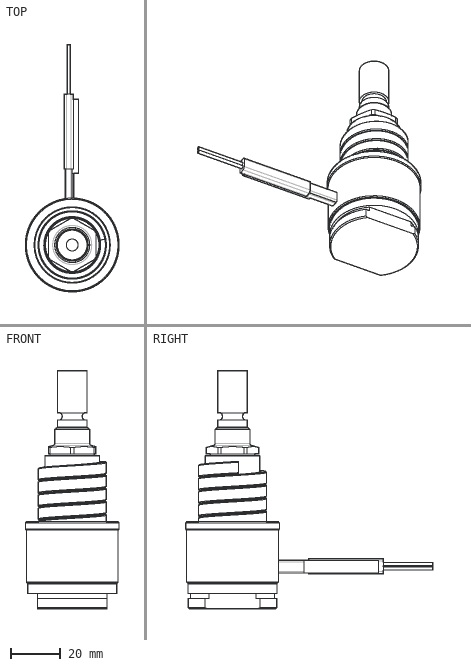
import cadquery as cq
import math


BODY_RADIUS = 18.6
FLANGE_RADIUS = 19.0
FLANGE_TOP = 35.2
FLANGE_HEIGHT = 3.0
FLANGE_CHAMFER = 0.5
FOOT_RADIUS = 18.0
FOOT_TOP = 10.4
FOOT_GROOVE_RADIUS = 17.0
FOOT_GROOVE_BOTTOM = 4.2
FOOT_GROOVE_TOP = 6.1
FOOT_CHAMFER = 0.5
FOOT_FLAT_OFFSET = 14.1
SHELL_CHAMFER = 0.4
BORE_RADIUS = 15.1
BORE_FLOOR = FLANGE_TOP - 5.0
BORE_CHAMFER = 0.3

CORE_RADIUS = 11.1
CORE_TOP = 62.0
CORE_CHAMFER = 0.3
SPRING_RADIUS = 13.8
SPRING_PITCH = 5.3
SPRING_GAP = 0.3
SPRING_TURNS = 5
SPRING_CHAMFER = 0.4
SPRING_TOP = 59.6
SPRING_END_ANGLE = 10.0
SPRING_EMBED = 0.5

WASHER_RADIUS = 9.0
HEX_BOTTOM = 62.6
HEX_EDGE_TOP = 65.2
HEX_TOP = 66.0
HEX_ACROSS_FLATS = 19.2
HEX_CORNER_RADIUS = 10.7
COLLAR_RADIUS = 7.1
COLLAR_FILLET = 0.8
COLLAR_TOP = 73.0
COLLAR_CHAMFER = 0.6
SHAFT_RADIUS = 6.0
SHAFT_TOP = 96.2
SHAFT_TAPER_WIDTH = 0.3
SHAFT_TAPER_HEIGHT = 0.5
NECK_BOTTOM = 76.3
NECK_TOP = 79.2
NECK_EDGE_RADIUS = 5.0
NECK_RADIUS = 4.1
HOLE_RADIUS = 2.4
HOLE_DEPTH = 20.0
DRILL_TIP_ANGLE = 118.0

CABLE_X = -1.4
CABLE_Z = 17.2
CABLE_WIDTH = 3.0
CABLE_HEIGHT = 5.2
CABLE_FILLET = 0.6
CABLE_START = 15.0
SECOND_CABLE_SHIFT = 0.6
SECOND_CABLE_DROP = 0.2
SLEEVE_WIDTH = 3.8
SLEEVE_HEIGHT = 6.2
SLEEVE_FILLET = 1.0
SLEEVE_START = 30.8
SLEEVE_END = 61.0
TUBE_RADIUS = 2.6
TUBE_START = 28.9
TUBE_LENGTH = 30.0
WIRE_RADIUS = 0.7
WIRE_SPACING = 1.8
WIRE_END = 81.0


def disc(radius, bottom, top):
    """Cylinder on the main axis between two heights."""
    return cq.Workplane("XY").workplane(offset=bottom).circle(radius).extrude(top - bottom)


def housing():
    """Flanged cup with a grooved foot that is flattened on both X sides."""
    flange_bottom = FLANGE_TOP - FLANGE_HEIGHT
    outline = [
        (0, 0),
        (FOOT_RADIUS - FOOT_CHAMFER, 0),
        (FOOT_RADIUS, FOOT_CHAMFER),
        (FOOT_RADIUS, FOOT_GROOVE_BOTTOM),
        (FOOT_GROOVE_RADIUS, FOOT_GROOVE_BOTTOM),
        (FOOT_GROOVE_RADIUS, FOOT_GROOVE_TOP),
        (FOOT_RADIUS, FOOT_GROOVE_TOP),
        (FOOT_RADIUS, FOOT_TOP - SHELL_CHAMFER),
        (FOOT_RADIUS - SHELL_CHAMFER, FOOT_TOP),
        (BODY_RADIUS - SHELL_CHAMFER, FOOT_TOP),
        (BODY_RADIUS, FOOT_TOP + SHELL_CHAMFER),
        (BODY_RADIUS, flange_bottom - SHELL_CHAMFER),
        (FLANGE_RADIUS, flange_bottom),
        (FLANGE_RADIUS, FLANGE_TOP - FLANGE_CHAMFER),
        (FLANGE_RADIUS - FLANGE_CHAMFER, FLANGE_TOP),
        (BORE_RADIUS + BORE_CHAMFER, FLANGE_TOP),
        (BORE_RADIUS, FLANGE_TOP - BORE_CHAMFER),
        (BORE_RADIUS, BORE_FLOOR),
        (0, BORE_FLOOR),
    ]
    body = cq.Workplane("XZ").polyline(outline).close().revolve(360, (0, 0), (0, 1))
    span = 2 * FLANGE_RADIUS
    for side in (-1, 1):
        beyond_flat = cq.Workplane("XY").box(span, span, FOOT_GROOVE_TOP, centered=(True, True, False))
        body = body.cut(beyond_flat.translate((side * (FOOT_FLAT_OFFSET + span / 2), 0, 0)))
    return body


def spring():
    """Right-handed coil whose inner side is sunk into the core."""
    height = SPRING_PITCH - SPRING_GAP
    inner = CORE_RADIUS - SPRING_EMBED
    ledge_inner = CORE_RADIUS + SPRING_CHAMFER
    start = SPRING_TOP - height - SPRING_TURNS * SPRING_PITCH
    section = [
        (inner, SPRING_CHAMFER + SPRING_EMBED),
        (ledge_inner, 0),
        (SPRING_RADIUS - SPRING_CHAMFER, 0),
        (SPRING_RADIUS, SPRING_CHAMFER),
        (SPRING_RADIUS, height - SPRING_CHAMFER),
        (SPRING_RADIUS - SPRING_CHAMFER, height),
        (ledge_inner, height),
        (inner, height - SPRING_CHAMFER - SPRING_EMBED),
    ]
    path = cq.Wire.makeHelix(SPRING_PITCH, SPRING_TURNS * SPRING_PITCH, SPRING_RADIUS)
    coil = cq.Workplane("XZ").polyline(section).close().sweep(cq.Workplane(path), isFrenet=True)
    return coil.rotate((0, 0, 0), (0, 0, 1), SPRING_END_ANGLE).translate((0, 0, start))


def hexagon():
    """Hexagon with a conical top and rounded-off corners, two flats facing X."""
    prism = (
        cq.Workplane("XY")
        .workplane(offset=HEX_BOTTOM)
        .transformed(rotate=(0, 0, 30))
        .polygon(6, HEX_ACROSS_FLATS, circumscribed=True)
        .extrude(HEX_TOP - HEX_BOTTOM)
        .rotate((0, 0, 0), (0, 0, 1), -30)
    )
    envelope = [
        (0, HEX_BOTTOM),
        (HEX_CORNER_RADIUS, HEX_BOTTOM),
        (HEX_CORNER_RADIUS, HEX_EDGE_TOP),
        (COLLAR_RADIUS + COLLAR_FILLET, HEX_TOP),
        (0, HEX_TOP),
    ]
    return prism.intersect(cq.Workplane("XZ").polyline(envelope).close().revolve(360, (0, 0), (0, 1)))


def post():
    """Collar, necked shaft and blind drilled hole above the hexagon."""
    fillet_sag = 1 - math.sqrt(0.5)
    solid = (
        cq.Workplane("XZ")
        .moveTo(0, HEX_BOTTOM)
        .lineTo(COLLAR_RADIUS, HEX_BOTTOM)
        .lineTo(COLLAR_RADIUS + COLLAR_FILLET, HEX_TOP)
        .threePointArc(
            (COLLAR_RADIUS + COLLAR_FILLET * fillet_sag, HEX_TOP + COLLAR_FILLET * fillet_sag),
            (COLLAR_RADIUS, HEX_TOP + COLLAR_FILLET),
        )
        .lineTo(COLLAR_RADIUS, COLLAR_TOP - COLLAR_CHAMFER)
        .lineTo(COLLAR_RADIUS - COLLAR_CHAMFER, COLLAR_TOP)
        .lineTo(SHAFT_RADIUS + SHAFT_TAPER_WIDTH, COLLAR_TOP)
        .lineTo(SHAFT_RADIUS, COLLAR_TOP + SHAFT_TAPER_HEIGHT)
        .lineTo(SHAFT_RADIUS, NECK_BOTTOM)
        .lineTo(NECK_EDGE_RADIUS, NECK_BOTTOM)
        .threePointArc((NECK_RADIUS, (NECK_BOTTOM + NECK_TOP) / 2), (NECK_EDGE_RADIUS, NECK_TOP))
        .lineTo(SHAFT_RADIUS, NECK_TOP)
        .lineTo(SHAFT_RADIUS, SHAFT_TOP)
        .lineTo(0, SHAFT_TOP)
        .close()
        .revolve(360, (0, 0), (0, 1))
    )
    hole_bottom = SHAFT_TOP - HOLE_DEPTH
    tip_depth = HOLE_RADIUS / math.tan(math.radians(DRILL_TIP_ANGLE / 2))
    hole_outline = [
        (0, SHAFT_TOP),
        (HOLE_RADIUS, SHAFT_TOP),
        (HOLE_RADIUS, hole_bottom),
        (0, hole_bottom - tip_depth),
    ]
    return solid.cut(cq.Workplane("XZ").polyline(hole_outline).close().revolve(360, (0, 0), (0, 1)))


def rounded_bar(x, z, width, height, fillet, start, end):
    """Bar along Y with its four long edges rounded."""
    bar = cq.Workplane("XY").box(width, end - start, height).edges("|Y").fillet(fillet)
    return bar.translate((x, (start + end) / 2, z))


def rod(x, z, radius, start, end):
    """Round rod along Y."""
    return cq.Workplane("XY").add(
        cq.Solid.makeCylinder(radius, end - start, cq.Vector(x, start, z), cq.Vector(0, 1, 0))
    )


def cables():
    """Two cables, their sleeve and tube, and the pair of wire ends."""
    tube_end = TUBE_START + TUBE_LENGTH
    second_z = CABLE_Z - SECOND_CABLE_DROP
    first = rounded_bar(CABLE_X, CABLE_Z, CABLE_WIDTH, CABLE_HEIGHT, CABLE_FILLET, CABLE_START, SLEEVE_START)
    second = rounded_bar(
        CABLE_X + SECOND_CABLE_SHIFT, second_z,
        CABLE_WIDTH, CABLE_HEIGHT, CABLE_FILLET, CABLE_START, SLEEVE_START,
    )
    sleeve = rounded_bar(CABLE_X, CABLE_Z, SLEEVE_WIDTH, SLEEVE_HEIGHT, SLEEVE_FILLET, SLEEVE_START, SLEEVE_END)
    tube = rod(0, second_z, TUBE_RADIUS, TUBE_START, tube_end)
    bundle = first.union(second).union(sleeve).union(tube)
    for side in (-1, 1):
        bundle = bundle.union(
            rod(CABLE_X, CABLE_Z + side * WIRE_SPACING / 2, WIRE_RADIUS, SLEEVE_START, WIRE_END)
        )
    return bundle


core = disc(CORE_RADIUS, FOOT_TOP, CORE_TOP).faces(">Z").chamfer(CORE_CHAMFER)
washer = disc(WASHER_RADIUS, CORE_TOP, HEX_BOTTOM)
result = core.union(spring()).union(housing()).union(washer).union(hexagon()).union(post()).union(cables())